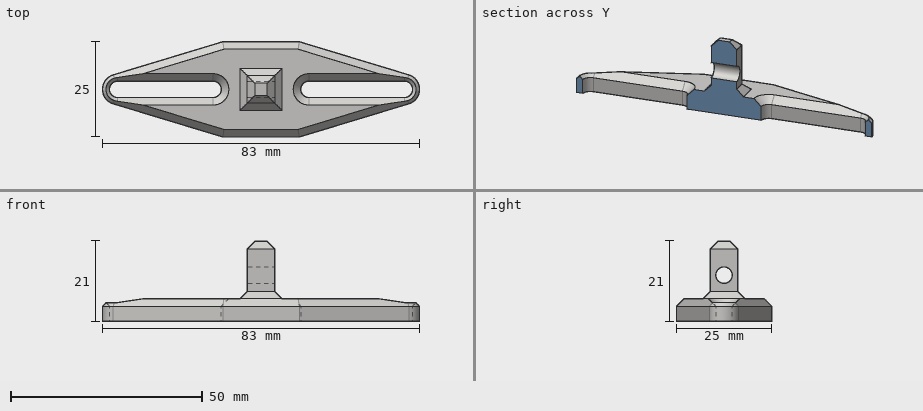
import cadquery as cq
import math

length = 83.0
width = 25.0
flat_length = 20.0
tip_radius = 4.0
plate_thickness = 6.0
chamfer = 2.0

slot_width = 4.2
slot_inner_center = 12.5
slot_outer_center = length / 2 - tip_radius

total_height = 21.0
post_width = 7.2
foot_flare = 1.9
hole_diameter = 4.2
hole_height = 12.1


def make_plate():
    """Plate with tapered sides tangent to the tip arcs and a chamfered top edge."""
    corner_x = flat_length / 2
    corner_y = width / 2
    run = slot_outer_center - corner_x
    tangent_angle = math.atan2(corner_y, -run) - math.acos(tip_radius / math.hypot(run, corner_y))
    tangent_x = slot_outer_center + tip_radius * math.cos(tangent_angle)
    tangent_y = tip_radius * math.sin(tangent_angle)
    return (
        cq.Workplane("XY")
        .moveTo(-corner_x, corner_y)
        .lineTo(corner_x, corner_y)
        .lineTo(tangent_x, tangent_y)
        .threePointArc((length / 2, 0), (tangent_x, -tangent_y))
        .lineTo(corner_x, -corner_y)
        .lineTo(-corner_x, -corner_y)
        .lineTo(-tangent_x, -tangent_y)
        .threePointArc((-length / 2, 0), (-tangent_x, tangent_y))
        .close()
        .extrude(plate_thickness)
        .faces(">Z")
        .edges()
        .chamfer(chamfer)
    )


def make_slot_cutter(side):
    """Slot through the plate, widening at 45 degrees at the top; side is -1 or 1."""
    center_x = side * (slot_inner_center + slot_outer_center) / 2
    center_distance = slot_outer_center - slot_inner_center
    top_width = slot_width + 2 * chamfer
    through = (
        cq.Workplane("XY")
        .center(center_x, 0)
        .slot2D(center_distance + slot_width, slot_width)
        .extrude(plate_thickness)
    )
    countersink = (
        cq.Workplane("XY", origin=(center_x, 0, plate_thickness))
        .slot2D(center_distance + top_width, top_width)
        .extrude(-chamfer, taper=45)
    )
    return through.union(countersink)


def make_post():
    """Square post with chamfered top, flared foot and a hole along X."""
    post = (
        cq.Workplane("XY")
        .rect(post_width, post_width)
        .extrude(total_height)
        .faces(">Z")
        .edges()
        .chamfer(chamfer)
    )
    foot_width = post_width + 2 * foot_flare
    foot = (
        cq.Workplane("XY", origin=(0, 0, plate_thickness))
        .rect(foot_width, foot_width)
        .extrude(foot_flare, taper=45)
    )
    hole = (
        cq.Workplane("YZ")
        .center(0, hole_height)
        .circle(hole_diameter / 2)
        .extrude(post_width, both=True)
    )
    return post.union(foot).cut(hole)


result = make_plate()
for slot_side in (-1, 1):
    result = result.cut(make_slot_cutter(slot_side))
result = result.union(make_post())